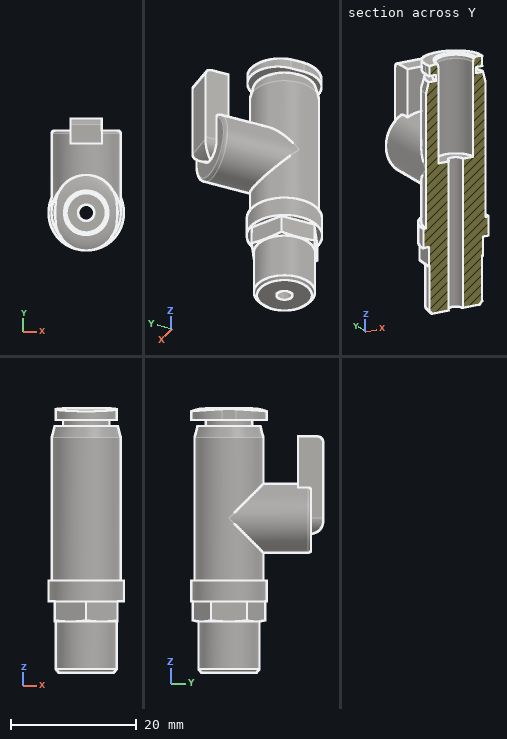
import cadquery as cq
import math

height = 42.0
through_diameter = 2.5

stud_diameter = 9.75
stud_top = 8.15
stud_chamfer_width = 0.5
stud_chamfer_height = 0.6

hex_flats = 10.0
hex_top = 11.35
hex_chamfer_height = 0.15

collar_diameter = 12.0
collar_top = 14.65
body_diameter = 11.0
body_straight_top = 37.35
body_top = 39.2
body_top_diameter = 10.05

neck_diameter = 7.45
flange_bottom = 40.1
flange_length = collar_diameter
flange_width = 9.75
flange_crown_drop = 0.5

bore_diameter = 6.2
bore_depth = 16.8
bore_mouth_diameter = 7.05
bore_lip_diameter = 6.5
mouth_chamfer_depth = 0.25
lip_depth = 0.85

branch_height = 24.53
branch_end = 13.05
branch_fillet = 0.5
lever_width = 5.0
lever_inner = 10.95
lever_outer = 15.0
lever_top = 37.55
lever_top_fillet = 1.0
lever_foot_fillet = 2.1


def cylinder(diameter, bottom, top):
    return cq.Workplane("XY").workplane(offset=bottom).circle(diameter / 2).extrude(top - bottom)


def revolved(profile):
    """Turn a closed (radius, height) outline around the Z axis."""
    return cq.Workplane("XZ").polyline(profile).close().revolve(360, (0, 0, 0), (0, 1, 0))


def make_stem():
    """Stud, collar, body and neck turned in one outline."""
    stud_radius = stud_diameter / 2
    collar_radius = collar_diameter / 2
    body_radius = body_diameter / 2
    neck_radius = neck_diameter / 2
    return revolved([
        (0, 0),
        (stud_radius - stud_chamfer_width, 0),
        (stud_radius, stud_chamfer_height),
        (stud_radius, hex_top),
        (collar_radius, hex_top),
        (collar_radius, collar_top),
        (body_radius, collar_top),
        (body_radius, body_straight_top),
        (body_top_diameter / 2, body_top),
        (neck_radius, body_top),
        (neck_radius, flange_bottom),
        (0, flange_bottom),
    ])


def make_hexagon():
    """Hexagon with corners on the Y axis and its lower corners turned off."""
    corner_diameter = hex_flats / math.cos(math.pi / 6)
    prism = (
        cq.Workplane("XY").workplane(offset=stud_top)
        .transformed(rotate=(0, 0, 90))
        .polygon(6, corner_diameter)
        .extrude(hex_top - stud_top)
    )
    envelope = revolved([
        (0, stud_top),
        (hex_flats / 2, stud_top),
        (corner_diameter / 2, stud_top + hex_chamfer_height),
        (corner_diameter / 2, hex_top),
        (0, hex_top),
    ])
    return prism.intersect(envelope)


def make_flange():
    """Oblong button flange with a crown curving down from the socket mouth."""
    oblong = (
        cq.Workplane("XY").workplane(offset=flange_bottom)
        .slot2D(flange_length, flange_width, 90)
        .extrude(height - flange_bottom)
    )
    rim_radius = flange_length / 2
    envelope = (
        cq.Workplane("XZ").moveTo(0, flange_bottom)
        .lineTo(0, height)
        .lineTo(bore_mouth_diameter / 2, height)
        .tangentArcPoint((rim_radius, height - flange_crown_drop), relative=False)
        .lineTo(rim_radius, flange_bottom)
        .close()
        .revolve(360, (0, 0, 0), (0, 1, 0))
    )
    return oblong.intersect(envelope)


def make_branch():
    return (
        cq.Workplane("XZ").center(0, branch_height)
        .circle(body_diameter / 2)
        .extrude(-branch_end)
        .faces(">Y").edges().fillet(branch_fillet)
    )


def make_lever():
    """Upright bar with a half-round foot on the branch axis, rounded along its outer side."""
    half_width = lever_width / 2
    foot = branch_height - half_width
    bar = (
        cq.Workplane("XZ", origin=(0, lever_inner, 0))
        .moveTo(-half_width, lever_top)
        .lineTo(-half_width, branch_height)
        .threePointArc((0, foot), (half_width, branch_height))
        .lineTo(half_width, lever_top)
        .close()
        .extrude(lever_inner - lever_outer)
    )
    side_outline = (
        cq.Workplane("YZ", origin=(-half_width, 0, 0))
        .moveTo(lever_inner, foot)
        .lineTo(lever_outer, foot)
        .lineTo(lever_outer, lever_top)
        .lineTo(lever_inner, lever_top)
        .close()
        .extrude(lever_width)
    )
    side_outline = side_outline.faces(">Y").edges(">Z").fillet(lever_top_fillet)
    side_outline = side_outline.faces(">Y").edges("<Z").fillet(lever_foot_fillet)
    return bar.intersect(side_outline)


def make_socket():
    """Stepped tube socket opening at the top."""
    bore_radius = bore_diameter / 2
    lip_radius = bore_lip_diameter / 2
    return revolved([
        (0, height - bore_depth),
        (bore_radius, height - bore_depth),
        (bore_radius, height - lip_depth),
        (lip_radius, height - mouth_chamfer_depth),
        (bore_mouth_diameter / 2, height),
        (0, height),
    ])


result = (
    make_stem()
    .union(make_hexagon())
    .union(make_flange())
    .union(make_branch())
    .union(make_lever())
    .cut(make_socket())
    .cut(cylinder(through_diameter, 0, height))
)